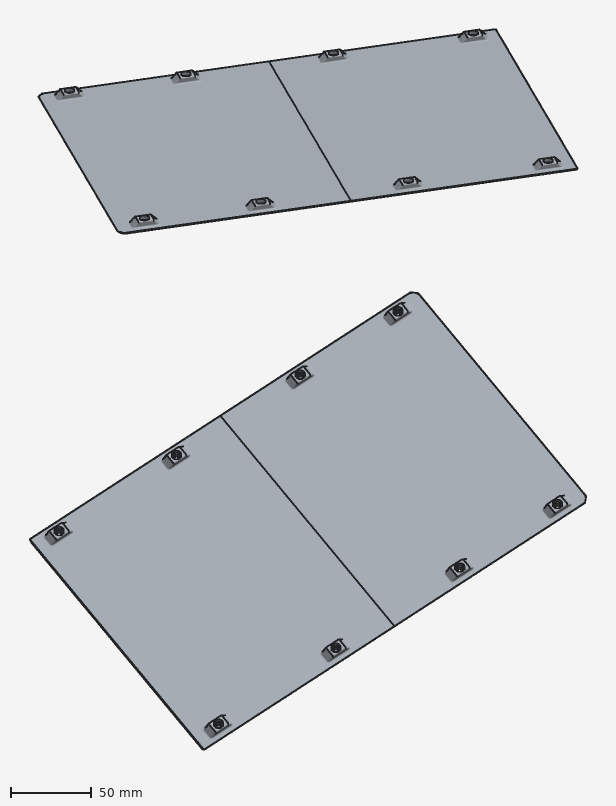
import cadquery as cq

SHEET_WIDTH = 182.6
SHEET_LENGTH = 295.6
SHEET_THICKNESS = 2.0
JOINT_Y = 1.65
CORNER_CUT = 3.3
BEVEL_ANGLE = 45
EDGE_BEVEL = SHEET_THICKNESS

PAD_TOP_Z = 6.0
PAD_WIDTH = 8.0
PAD_TOP_LENGTH = 10.0
PAD_RISE = PAD_TOP_Z - SHEET_THICKNESS
PAD_BASE_LENGTH = PAD_TOP_LENGTH + 2 * PAD_RISE
PAD_EDGE_RADIUS = 1.0
PAD_BASE_RADIUS = 1.0
FOOT_MARGIN = 0.1
PAD_X = 83.5
REAR_PAD_YS = [131.0, 41.0]
FRONT_PAD_YS = [-54.0, -129.0]

HOLE_DIAMETER = 3.6
HEAD_DIAMETER = 6.0
HEAD_DEPTH = 3.0

HALF_WIDTH = SHEET_WIDTH / 2
HALF_LENGTH = SHEET_LENGTH / 2


def sheet():
    """Sheet with cut front corners, tapering towards the underside on all but the rear edge."""
    outline = [
        (-HALF_WIDTH, HALF_LENGTH),
        (-HALF_WIDTH, -HALF_LENGTH + CORNER_CUT),
        (-HALF_WIDTH + CORNER_CUT, -HALF_LENGTH),
        (HALF_WIDTH - CORNER_CUT, -HALF_LENGTH),
        (HALF_WIDTH, -HALF_LENGTH + CORNER_CUT),
        (HALF_WIDTH, HALF_LENGTH),
    ]
    blank_outline = [(x, y + EDGE_BEVEL if y > 0 else y) for x, y in outline]
    blank = (
        cq.Workplane("XY", origin=(0, 0, SHEET_THICKNESS))
        .polyline(blank_outline)
        .close()
        .extrude(-SHEET_THICKNESS, taper=BEVEL_ANGLE)
    )
    trim = cq.Workplane("XY").polyline(outline).close().extrude(SHEET_THICKNESS)
    return blank.intersect(trim)


def pad(x, y):
    """Pad with 45 degree end ramps, rounded along both sides of its ramps and top."""
    return (
        cq.Workplane("YZ")
        .polyline([
            (-PAD_BASE_LENGTH / 2, 0),
            (PAD_BASE_LENGTH / 2, 0),
            (PAD_TOP_LENGTH / 2, PAD_RISE),
            (-PAD_TOP_LENGTH / 2, PAD_RISE),
        ])
        .close()
        .extrude(PAD_WIDTH / 2, both=True)
        .edges("(not |X) and (not <Z)")
        .fillet(PAD_EDGE_RADIUS)
        .translate((x, y, SHEET_THICKNESS))
    )


def screw_hole(x, y):
    """Cutter for the through hole and the wider recess for the screw head."""
    shank = cq.Workplane("XY").center(x, y).circle(HOLE_DIAMETER / 2).extrude(PAD_TOP_Z)
    head = (
        cq.Workplane("XY", origin=(x, y, PAD_TOP_Z - HEAD_DEPTH))
        .circle(HEAD_DIAMETER / 2)
        .extrude(HEAD_DEPTH)
    )
    return shank.union(head)


def panel(y_start, y_end, pad_ys):
    """The stretch of the sheet between two Y positions, with its screw pads."""
    stretch = (
        cq.Workplane("XY")
        .center(0, (y_start + y_end) / 2)
        .rect(SHEET_WIDTH, y_end - y_start)
        .extrude(SHEET_THICKNESS)
    )
    body = sheet().intersect(stretch)
    pad_places = [(x, y) for x in (-PAD_X, PAD_X) for y in pad_ys]
    for x, y in pad_places:
        body = body.union(pad(x, y))
    pad_feet = cq.selectors.BoxSelector(
        (-HALF_WIDTH + EDGE_BEVEL, y_start + EDGE_BEVEL, SHEET_THICKNESS - FOOT_MARGIN),
        (HALF_WIDTH - EDGE_BEVEL, y_end - EDGE_BEVEL, SHEET_THICKNESS + FOOT_MARGIN),
        boundingbox=True,
    )
    body = body.edges(pad_feet).fillet(PAD_BASE_RADIUS)
    for x, y in pad_places:
        body = body.cut(screw_hole(x, y))
    return body


rear_panel = panel(JOINT_Y, HALF_LENGTH, REAR_PAD_YS)
front_panel = panel(-HALF_LENGTH, JOINT_Y, FRONT_PAD_YS)

result = cq.Compound.makeCompound([rear_panel.val(), front_panel.val()])